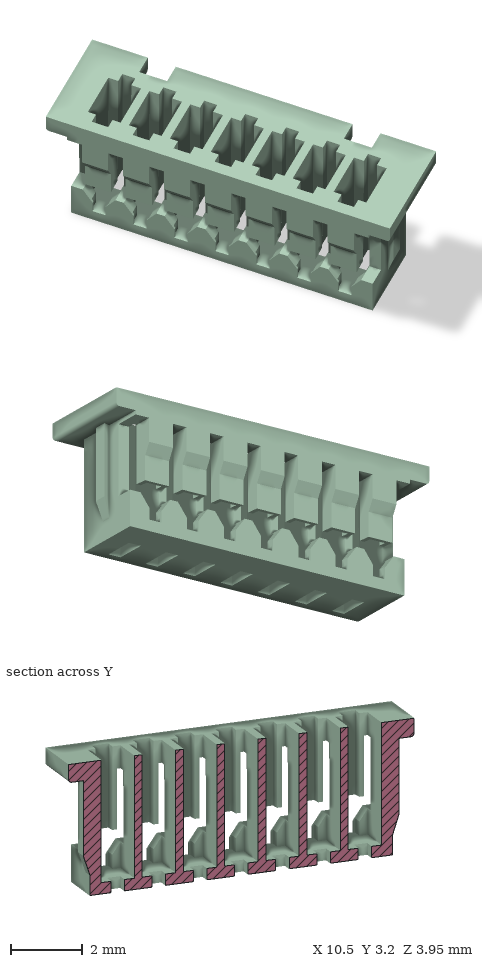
import cadquery as cq


LENGTH = 10.5
DEPTH = 3.2
HEIGHT = 3.95
FLANGE_THICKNESS = 0.55
FLANGE_EDGE_RADIUS = 0.1
BODY_LENGTH = 9.2
BODY_FRONT = 0.86
BODY_BACK = 2.6
FLANGE_UNDERSIDE = HEIGHT - FLANGE_THICKNESS

CONTACT_COUNT = 7
PITCH = 1.25
POCKET_WIDTH = 1.0
POCKET_FLOOR = 0.35
POCKET_BACK_AT_TOP = 2.06
POCKET_BACK_AT_FLOOR = 2.03
CHANNEL_WIDTH = 0.4
CHANNEL_FRONT = 1.32
CHANNEL_BACK = 2.34

SILL_FRONT = 0.28
SILL_TOP = 1.1
SLOT_BEND = 0.69

BEAM_BOTTOM = 3.28
TAB_WIDTH = 0.8
TAB_BACK = 0.64
TAB_TIP_FRONT = 0.2
TAB_STEP_TOP = 2.55
TAB_STEP_BOTTOM = 2.22
TAB_TIP_FRONT_Z = 1.46
TAB_TIP_BACK_Z = 1.49
KEY_WIDTH = 0.5
KEY_FRONT = 0.35

RAIL_HEIGHT = 0.2
RAIL_Y = 1.49
RAIL_OUTER_WIDTH = 0.44
RAIL_ROOT_WIDTH = 0.3
RAIL_TAPER_TOP = 1.2
RAIL_TAPER_BOTTOM = 0.6

LATCH_PITCHES_FROM_CENTRE = 2.5
LATCH_X = LATCH_PITCHES_FROM_CENTRE * PITCH
LATCH_WIDTH = 0.67
LATCH_REACH = 0.3
LATCH_TOP = 1.48
LATCH_BOTTOM = 0.55
NOTCH_WIDTH = 0.85

contact_xs = [(i - (CONTACT_COUNT - 1) / 2) * PITCH for i in range(CONTACT_COUNT)]


def block(width, y_range, z_range, x=0.0):
    """Box of the given width centred on x, between two Y and two Z levels."""
    (y0, y1), (z0, z1) = y_range, z_range
    shape = cq.Workplane("XY").box(width, y1 - y0, z1 - z0, centered=(True, False, False))
    return shape.translate((x, y0, z0))


def side_profile(points, width, x=0.0):
    """Outline of (y, z) points given thickness along X, centred on x."""
    return cq.Workplane("YZ").polyline(points).close().extrude(width / 2, both=True).translate((x, 0, 0))


def flange():
    plate = block(LENGTH, (0, DEPTH), (FLANGE_UNDERSIDE, HEIGHT))
    plate = plate.faces("<Z").edges("<X or >X or >Y").fillet(FLANGE_EDGE_RADIUS)
    for x in (-LATCH_X, LATCH_X):
        plate = plate.cut(block(NOTCH_WIDTH, (BODY_BACK, DEPTH), (FLANGE_UNDERSIDE, HEIGHT), x))
    return plate


def body():
    main = block(BODY_LENGTH, (BODY_FRONT, BODY_BACK), (0, FLANGE_UNDERSIDE))
    sill = block(BODY_LENGTH, (SILL_FRONT, BODY_FRONT), (0, SILL_TOP))
    beam = block(BODY_LENGTH, (0, BODY_FRONT), (BEAM_BOTTOM, FLANGE_UNDERSIDE))
    return main.union(sill).union(beam)


def tab(x):
    profile = [
        (0, BEAM_BOTTOM),
        (0, TAB_STEP_TOP),
        (TAB_TIP_FRONT, TAB_STEP_BOTTOM),
        (TAB_TIP_FRONT, TAB_TIP_FRONT_Z),
        (TAB_BACK, TAB_TIP_BACK_Z),
        (TAB_BACK, BEAM_BOTTOM),
    ]
    return side_profile(profile, TAB_WIDTH, x)


def end_rail():
    """Dovetail rail on the +X end, fading into the body at its lower end."""
    root_x = BODY_LENGTH / 2
    outer_x = root_x + RAIL_HEIGHT
    section = [
        (root_x, RAIL_Y - RAIL_ROOT_WIDTH / 2),
        (outer_x, RAIL_Y - RAIL_OUTER_WIDTH / 2),
        (outer_x, RAIL_Y + RAIL_OUTER_WIDTH / 2),
        (root_x, RAIL_Y + RAIL_ROOT_WIDTH / 2),
    ]
    rail = (
        cq.Workplane("XY", origin=(0, 0, RAIL_TAPER_BOTTOM))
        .polyline(section).close()
        .extrude(FLANGE_UNDERSIDE - RAIL_TAPER_BOTTOM)
    )
    taper_outline = [
        (root_x, RAIL_TAPER_BOTTOM),
        (outer_x, RAIL_TAPER_BOTTOM),
        (outer_x, RAIL_TAPER_TOP),
    ]
    taper = cq.Workplane("XZ").polyline(taper_outline).close().extrude(-DEPTH)
    return rail.cut(taper)


def latch(x):
    profile = [
        (BODY_BACK, LATCH_TOP),
        (BODY_BACK + LATCH_REACH, LATCH_TOP),
        (BODY_BACK, LATCH_BOTTOM),
    ]
    return side_profile(profile, LATCH_WIDTH, x)


def sill_slot(x):
    """Parallel slot through the sill wall that flares to the pocket width at the top."""
    half_slot = CHANNEL_WIDTH / 2
    half_mouth = POCKET_WIDTH / 2
    outline = [
        (-half_slot, POCKET_FLOOR),
        (half_slot, POCKET_FLOOR),
        (half_slot, SLOT_BEND),
        (half_mouth, SILL_TOP),
        (-half_mouth, SILL_TOP),
        (-half_slot, SLOT_BEND),
    ]
    return (
        cq.Workplane("XZ", origin=(x, SILL_FRONT, 0))
        .polyline(outline).close()
        .extrude(SILL_FRONT - TAB_BACK)
    )


def contact_cavity(x):
    """Pocket with its front key slot, the channel that runs down through the base, and the sill slot."""
    pocket_profile = [
        (TAB_BACK, POCKET_FLOOR),
        (POCKET_BACK_AT_FLOOR, POCKET_FLOOR),
        (POCKET_BACK_AT_TOP, HEIGHT),
        (TAB_BACK, HEIGHT),
    ]
    pocket = side_profile(pocket_profile, POCKET_WIDTH, x)
    key = block(KEY_WIDTH, (KEY_FRONT, TAB_BACK), (POCKET_FLOOR, HEIGHT), x)
    channel = block(CHANNEL_WIDTH, (CHANNEL_FRONT, CHANNEL_BACK), (0, HEIGHT), x)
    return pocket.union(key).union(channel).union(sill_slot(x))


result = flange().union(body())
rail = end_rail()
result = result.union(rail).union(rail.mirror("YZ"))
for x in (-LATCH_X, LATCH_X):
    result = result.union(latch(x))
for x in contact_xs:
    result = result.union(tab(x)).cut(contact_cavity(x))